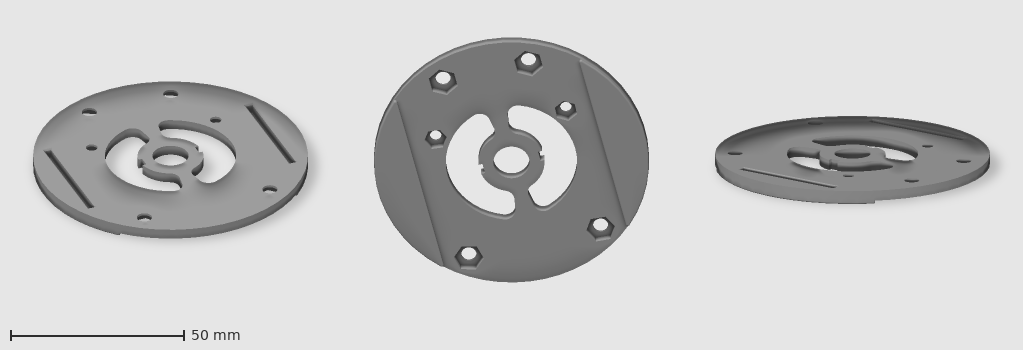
import cadquery as cq
import math

plate_diameter = 79.4
plate_radius = plate_diameter / 2
total_height = 4.0
pad_height = 0.95
plate_thickness = total_height - pad_height

pad_inner_y = 27.15
pad_corner_radius = 0.55
pad_edge_radius = 0.5

slot_length = 33.2
slot_width = 2.0
slot_y = 31.4
slot_depth = plate_thickness
slot_chamfer = 0.5
slot_chamfer_angle = 45

bore_diameter = 10.5
hub_radius = 9.5
window_outer_radius = 19.0
window_start_angle = 10.0
window_corner_radius = 3.0
notch_width = 3.1
notch_floor_y = 8.25

lip_thickness = 0.7
nut_sides = 6
large_hole_diameter = 4.4
large_nut_width = 7.55
small_hole_diameter = 3.3
small_nut_width = 5.9

large_holes = [
    (-30.5, 12.7, 0),
    (-30.5, -12.7, 0),
    (27.6, 19.6, 46),
    (27.6, -19.6, 33),
]
small_holes = [
    (-12.7, 19.4, 35),
    (-12.7, -19.4, 2),
]


def with_y_mirror(shape):
    """Return the shape together with its mirror image across the XZ plane."""
    return shape.union(shape.mirror("XZ"))


def polar(radius, angle):
    """Point at the given radius and angle in degrees."""
    return (radius * math.cos(math.radians(angle)), radius * math.sin(math.radians(angle)))


def make_pad():
    """Circular segment under the plate with rounded corners and a rounded bottom edge."""
    half_chord = math.sqrt(plate_radius**2 - pad_inner_y**2)
    return (
        cq.Workplane("XY")
        .moveTo(-half_chord, pad_inner_y)
        .lineTo(half_chord, pad_inner_y)
        .threePointArc((0, plate_radius), (-half_chord, pad_inner_y))
        .close()
        .extrude(-pad_height)
        .edges("|Z")
        .fillet(pad_corner_radius)
        .faces("<Z")
        .edges()
        .fillet(pad_edge_radius)
    )


def make_slot():
    """Cutter for a straight blind slot that flares at the top face."""
    flare_length = slot_length + 2 * slot_chamfer
    flare_width = slot_width + 2 * slot_chamfer
    top = cq.Workplane("XY", origin=(0, slot_y, plate_thickness))
    channel = top.rect(slot_length, slot_width).extrude(-slot_depth)
    flare = top.rect(flare_length, flare_width).extrude(-slot_chamfer, taper=slot_chamfer_angle)
    return channel.union(flare)


def make_window():
    """Cutter for a curved window with rounded corners and the hub notch it opens into."""
    end_angle = 180 - window_start_angle
    window = (
        cq.Workplane("XY")
        .moveTo(*polar(hub_radius, window_start_angle))
        .lineTo(*polar(window_outer_radius, window_start_angle))
        .threePointArc((0, window_outer_radius), polar(window_outer_radius, end_angle))
        .lineTo(*polar(hub_radius, end_angle))
        .threePointArc((0, hub_radius), polar(hub_radius, window_start_angle))
        .close()
        .extrude(plate_thickness)
        .edges("|Z")
        .fillet(window_corner_radius)
    )
    notch_length = (hub_radius + window_outer_radius) / 2 - notch_floor_y
    notch = (
        cq.Workplane("XY")
        .center(0, notch_floor_y + notch_length / 2)
        .rect(notch_width, notch_length)
        .extrude(plate_thickness)
    )
    return window.union(notch)


def make_nut_hole(hole_diameter, nut_width, x, y, corner_angle):
    """Cutter for a through hole with a hexagonal nut pocket below it."""
    nut_corner_diameter = nut_width / math.cos(math.pi / nut_sides)
    hole = cq.Workplane("XY").circle(hole_diameter / 2).extrude(plate_thickness)
    pocket = (
        cq.Workplane("XY")
        .polygon(nut_sides, nut_corner_diameter)
        .extrude(plate_thickness - lip_thickness)
        .rotate((0, 0, 0), (0, 0, 1), corner_angle)
    )
    return hole.union(pocket).translate((x, y, 0))


plate = cq.Workplane("XY").circle(plate_radius).extrude(plate_thickness)
body = plate.union(with_y_mirror(make_pad()))

body = body.cut(with_y_mirror(make_slot()))
body = body.cut(with_y_mirror(make_window()))

bore = cq.Workplane("XY").circle(bore_diameter / 2).extrude(plate_thickness)
body = body.cut(bore)

for x, y, corner_angle in large_holes:
    body = body.cut(make_nut_hole(large_hole_diameter, large_nut_width, x, y, corner_angle))
for x, y, corner_angle in small_holes:
    body = body.cut(make_nut_hole(small_hole_diameter, small_nut_width, x, y, corner_angle))

result = body